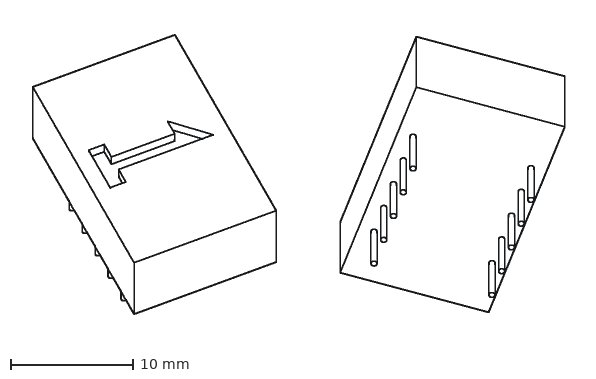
import cadquery as cq

body_length = 19.86
body_width = 12.8
body_height = 7.0

total_height = 11.4
pin_length = total_height - body_height
pin_diameter = 0.5
pins_per_row = 5
pin_pitch = 2.55
row_spacing = 4 * pin_pitch

recess_depth = 1.0
recess_height = 9.93
stroke = 1.41
base_width = 3 * stroke


def make_body():
    return cq.Workplane("XY").box(
        body_length, body_width, body_height, centered=(True, True, False)
    )


def make_pins():
    return (
        cq.Workplane("XY")
        .rarray(pin_pitch, row_spacing, pins_per_row, 2)
        .circle(pin_diameter / 2)
        .extrude(-pin_length)
    )


def make_recess():
    half_stem = stroke / 2
    half_base = base_width / 2
    top = recess_height / 2
    bottom = -top
    base_top = bottom + stroke
    flag_bottom = top - (half_stem + half_base)
    outline = [
        (half_stem, top),
        (-half_base, flag_bottom),
        (-half_stem, flag_bottom),
        (-half_stem, base_top),
        (-half_base, base_top),
        (-half_base, bottom),
        (half_base, bottom),
        (half_base, base_top),
        (half_stem, base_top),
    ]
    return (
        cq.Workplane("XY", origin=(0, 0, body_height))
        .polyline(outline)
        .close()
        .extrude(-recess_depth)
    )


result = make_body().union(make_pins()).cut(make_recess())